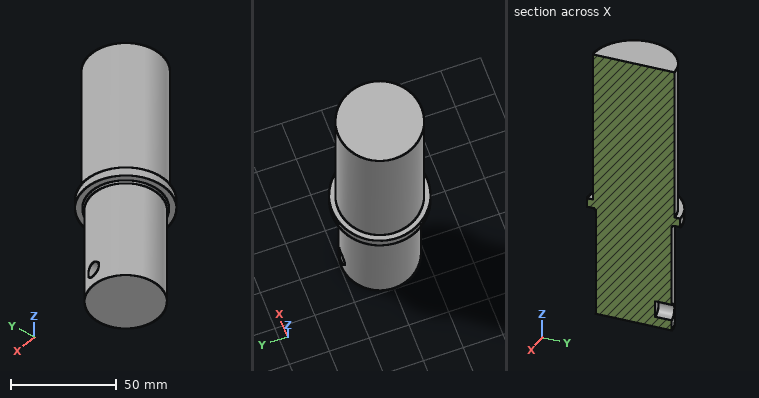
import cadquery as cq

lower_diameter = 39.0
lower_length = 58.0
collar_diameter = 48.0
collar_thickness = 5.0
upper_diameter = 42.0
upper_length = 80.0

flare_size = 1.0

cross_hole_diameter = 8.3
cross_hole_height = 10.0
cross_hole_depth = 8.5


def stepped_body():
    """Revolve the half section of the pin about the Z axis."""
    lower_radius = lower_diameter / 2
    collar_radius = collar_diameter / 2
    upper_radius = upper_diameter / 2
    collar_top = lower_length + collar_thickness
    overall_length = collar_top + upper_length

    half_section = (
        cq.Workplane("XZ")
        .lineTo(lower_radius, 0)
        .lineTo(lower_radius, lower_length - flare_size)
        .lineTo(lower_radius + flare_size, lower_length)
        .lineTo(collar_radius, lower_length)
        .lineTo(collar_radius, collar_top)
        .lineTo(upper_radius, collar_top)
        .lineTo(upper_radius, overall_length)
        .lineTo(0, overall_length)
        .close()
    )
    return half_section.revolve(360, (0, 0), (0, 1))


def cross_hole():
    """Cutter for the cross hole, from its flat floor out past the +Y side."""
    hole_floor = lower_diameter / 2 - cross_hole_depth
    floor_plane = cq.Workplane("XZ", origin=(0, hole_floor, cross_hole_height))
    return floor_plane.circle(cross_hole_diameter / 2).extrude(-lower_diameter / 2)


result = stepped_body().cut(cross_hole())